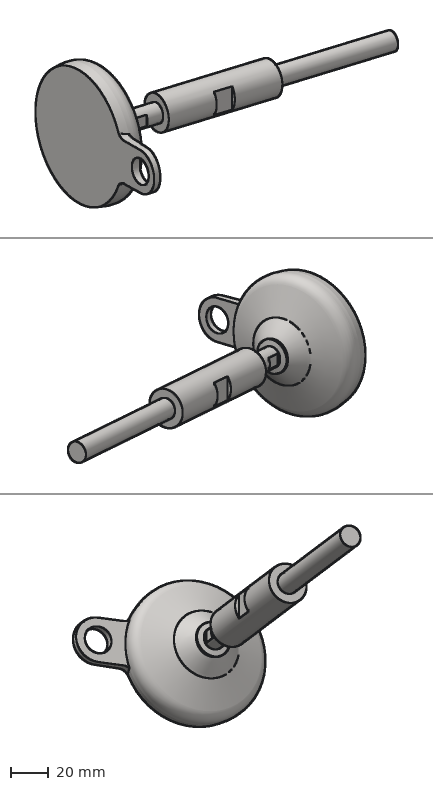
import cadquery as cq
import math

TOTAL_LENGTH = 206.5

FOOT_RADIUS = 39.95
BASE_RADIUS = 39.0
RIM_TOP = 5.8
SHOULDER_START = 8.9
SHOULDER_RADIUS = 7.2
CONE_TOP = 22.0
CONE_TOP_RADIUS = 19.0
CONE_ANGLE = 21.5
DOME_BOTTOM = 23.1
DOME_BOTTOM_RADIUS = 17.8
DOME_TOP = 30.0
DOME_BULGE = 0.5
COLLAR_RADIUS = 9.7
COLLAR_TOP = 31.2
NECK_TOP = 31.8

LUG_RADIUS = 12.5
LUG_CENTER = 108.0 - FOOT_RADIUS - LUG_RADIUS
LUG_HOLE_DIAMETER = 15.0
LUG_FILLET = 6.0
LUG_TIP_THICKNESS = 4.1

SPINDLE_DIAMETER = 12.0
SPINDLE_FLAT_WIDTH = 10.0
SPINDLE_FLAT_START = 33.0
SPINDLE_FLAT_LENGTH = 8.0

SLEEVE_DIAMETER = 22.0
SLEEVE_START = 51.5
SLEEVE_LENGTH = 75.0
SLEEVE_FLAT_WIDTH = 17.3
SLEEVE_FLAT_START = 83.0
SLEEVE_FLAT_LENGTH = 12.0


def cylinder(diameter, start, length):
    """Cylinder along +Y, starting at Y = start."""
    return cq.Workplane("XZ", origin=(0, start, 0)).circle(diameter / 2).extrude(-length)


def cut_wrench_flats(body, diameter, width, start, length):
    """Cut two opposite flats that face +X and -X."""
    depth = (diameter - width) / 2
    for side in (-1, 1):
        cutter = cq.Workplane("XY").box(depth, length, diameter)
        cutter = cutter.translate((side * (width + depth) / 2, start + length / 2, 0))
        body = body.cut(cutter)
    return body


def make_foot_bell():
    """Revolved foot: tapered rim, rounded shoulder, cone, dome and collar."""
    arc_center_x = FOOT_RADIUS - SHOULDER_RADIUS

    def shoulder_point(degrees):
        angle = math.radians(degrees)
        return (
            arc_center_x + SHOULDER_RADIUS * math.cos(angle),
            SHOULDER_START + SHOULDER_RADIUS * math.sin(angle),
        )

    shoulder_sweep = 90 - CONE_ANGLE
    dome_run = DOME_BOTTOM_RADIUS - COLLAR_RADIUS
    dome_rise = DOME_TOP - DOME_BOTTOM
    chord = math.hypot(dome_run, dome_rise)
    dome_middle = (
        (DOME_BOTTOM_RADIUS + COLLAR_RADIUS) / 2 + DOME_BULGE * dome_rise / chord,
        (DOME_BOTTOM + DOME_TOP) / 2 + DOME_BULGE * dome_run / chord,
    )
    return (
        cq.Workplane("XY")
        .lineTo(BASE_RADIUS, 0)
        .lineTo(FOOT_RADIUS, RIM_TOP)
        .lineTo(FOOT_RADIUS, SHOULDER_START)
        .threePointArc(shoulder_point(shoulder_sweep / 2), shoulder_point(shoulder_sweep))
        .lineTo(CONE_TOP_RADIUS, CONE_TOP)
        .lineTo(DOME_BOTTOM_RADIUS, DOME_BOTTOM)
        .threePointArc(dome_middle, (COLLAR_RADIUS, DOME_TOP))
        .lineTo(COLLAR_RADIUS, COLLAR_TOP)
        .lineTo(SPINDLE_DIAMETER / 2, NECK_TOP)
        .lineTo(0, NECK_TOP)
        .close()
        .revolve(360, (0, 0), (0, 1))
    )


def make_lug():
    """Lug with a round end, filleted into the base circle and thinner at its tip."""
    fillet_z = LUG_RADIUS + LUG_FILLET
    fillet_distance = BASE_RADIUS + LUG_FILLET
    fillet_x = math.sqrt(fillet_distance**2 - fillet_z**2)
    root_x = fillet_x * BASE_RADIUS / fillet_distance
    root_z = fillet_z * BASE_RADIUS / fillet_distance
    tip_x = LUG_CENTER + LUG_RADIUS

    toward_base = math.atan2(-fillet_z, -fillet_x)
    middle_angle = (toward_base - math.pi / 2) / 2
    fillet_middle_x = fillet_x + LUG_FILLET * math.cos(middle_angle)
    fillet_middle_z = fillet_z + LUG_FILLET * math.sin(middle_angle)

    outline = (
        cq.Workplane("XZ")
        .lineTo(root_x, -root_z)
        .threePointArc((fillet_middle_x, -fillet_middle_z), (fillet_x, -LUG_RADIUS))
        .lineTo(LUG_CENTER, -LUG_RADIUS)
        .threePointArc((tip_x, 0), (LUG_CENTER, LUG_RADIUS))
        .lineTo(fillet_x, LUG_RADIUS)
        .threePointArc((fillet_middle_x, fillet_middle_z), (root_x, root_z))
        .close()
        .extrude(-RIM_TOP)
    )
    taper = (
        cq.Workplane("XY")
        .lineTo(tip_x, 0)
        .lineTo(tip_x, LUG_TIP_THICKNESS)
        .lineTo(BASE_RADIUS, RIM_TOP)
        .lineTo(0, RIM_TOP)
        .close()
        .extrude(fillet_z, both=True)
    )
    hole = cylinder(LUG_HOLE_DIAMETER, 0, RIM_TOP).translate((LUG_CENTER, 0, 0))
    return outline.intersect(taper).cut(hole)


def make_foot():
    return make_foot_bell().union(make_lug())


def make_spindle():
    """Rod standing on the foot and running right through the sleeve."""
    rod = cylinder(SPINDLE_DIAMETER, NECK_TOP, TOTAL_LENGTH - NECK_TOP)
    return cut_wrench_flats(
        rod, SPINDLE_DIAMETER, SPINDLE_FLAT_WIDTH, SPINDLE_FLAT_START, SPINDLE_FLAT_LENGTH
    )


def make_sleeve():
    """Tube around the spindle with a pair of wrench flats."""
    tube = cylinder(SLEEVE_DIAMETER, SLEEVE_START, SLEEVE_LENGTH)
    tube = tube.cut(cylinder(SPINDLE_DIAMETER, SLEEVE_START, SLEEVE_LENGTH))
    return cut_wrench_flats(
        tube, SLEEVE_DIAMETER, SLEEVE_FLAT_WIDTH, SLEEVE_FLAT_START, SLEEVE_FLAT_LENGTH
    )


foot = make_foot()
spindle = make_spindle()
sleeve = make_sleeve()

result = cq.Compound.makeCompound([foot.val(), spindle.val(), sleeve.val()])